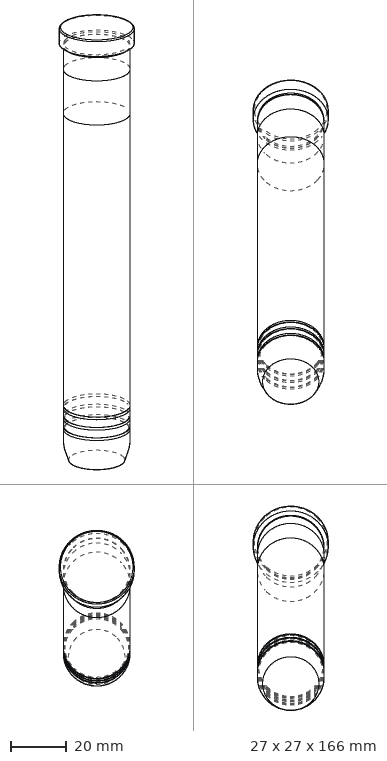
import cadquery as cq

total_length = 166.0
head_diameter = 27.0
head_height = 6.1
head_chamfer = 0.5
shank_diameter = 24.0
shank_radius = shank_diameter / 2

relief_width = 1.0
relief_depth = 0.2

head_section_length = 16.1
collar_length = 17.0
collar_top = total_length - head_section_length
collar_bottom = collar_top - collar_length

lead_in_height = 7.0
tip_diameter = 20.3
tip_radius = tip_diameter / 2
lead_in_bulge = 0.3

groove_count = 3
groove_pitch = 4.0
groove_radius = 0.5
lowest_groove_height = 12.5


def cylinder(radius, bottom, height):
    return cq.Workplane("XY").workplane(offset=bottom).circle(radius).extrude(height)


def relief_groove(bottom):
    """Ring-shaped cutter for the shallow square groove under the head."""
    return (
        cq.Workplane("XY")
        .workplane(offset=bottom)
        .circle(shank_radius + relief_depth)
        .circle(shank_radius - relief_depth)
        .extrude(relief_width)
    )


def lubrication_groove(height):
    """Torus-shaped cutter for a half-round groove centred on the shank surface."""
    return (
        cq.Workplane("XZ")
        .center(shank_radius, height)
        .circle(groove_radius)
        .revolve(360, (-shank_radius, 0), (-shank_radius, 1))
    )


def make_head_section():
    """Chamfered head, relief groove and the short length of shank below it."""
    head_bottom = total_length - head_height
    head = cylinder(head_diameter / 2, head_bottom, head_height)
    head = head.faces(">Z").edges().chamfer(head_chamfer)
    neck = cylinder(shank_radius, collar_top, head_bottom - collar_top)
    neck = neck.cut(relief_groove(head_bottom - relief_width))
    return head.union(neck)


def make_collar():
    """Plain cylinder flush with the shank, between the head section and the shaft."""
    return cylinder(shank_radius, collar_bottom, collar_length)


def make_shaft():
    """Long shaft with a rounded lead-in and lubrication grooves near the tip."""
    arc_middle = ((tip_radius + shank_radius) / 2 + lead_in_bulge, lead_in_height / 2)
    shaft = (
        cq.Workplane("XZ")
        .lineTo(tip_radius, 0)
        .threePointArc(arc_middle, (shank_radius, lead_in_height))
        .lineTo(shank_radius, collar_bottom)
        .lineTo(0, collar_bottom)
        .close()
        .revolve(360, (0, 0), (0, 1))
    )
    for index in range(groove_count):
        groove_height = lowest_groove_height + index * groove_pitch
        shaft = shaft.cut(lubrication_groove(groove_height))
    return shaft


head_section = make_head_section()
collar = make_collar()
shaft = make_shaft()

result = cq.Compound.makeCompound([head_section.val(), collar.val(), shaft.val()])